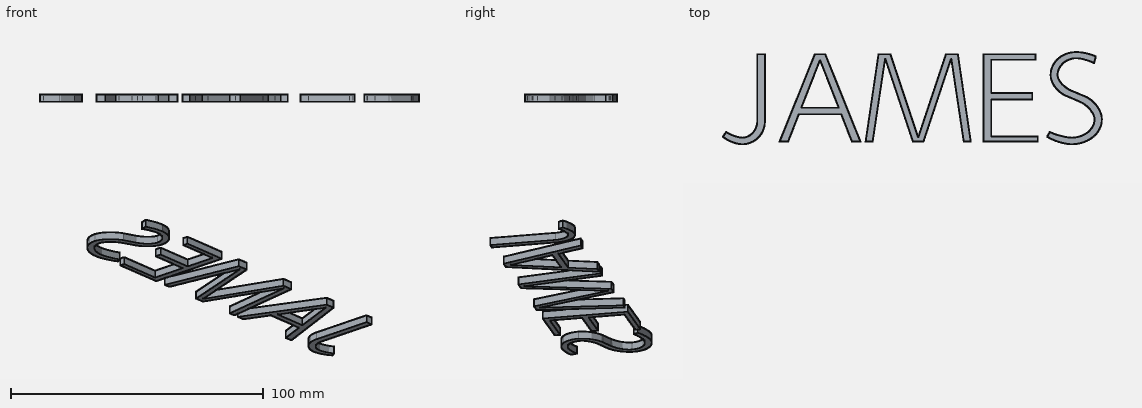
import cadquery as cq

thickness = 3.0
cap_height = 34.6
total_height = 36.6
bottom_y = -1.0
top_y = bottom_y + total_height
stem_width = 3.2
hook_tip_outer_y = 2.0
hook_tip_inner_y = 3.9
hook_inner_y = 1.6
curve_fullness = 0.55


def bend(outline, corner, end):
    """Bend from the last edge to end; both end tangents pass through corner."""
    start = outline.val().endPoint()
    start_handle = (
        start.x + curve_fullness * (corner[0] - start.x),
        start.y + curve_fullness * (corner[1] - start.y),
    )
    end_handle = (
        end[0] + curve_fullness * (corner[0] - end[0]),
        end[1] + curve_fullness * (corner[1] - end[1]),
    )
    return outline.bezier([start_handle, end_handle, end], includeCurrent=True)


def plate(points):
    """Extrude a straight-sided outline to the letter thickness."""
    return cq.Workplane("XY").polyline(points).close().extrude(thickness)


def mirrored(left_points, center_x):
    """Return the mirror image of a left-half outline, in reverse order."""
    return [(2 * center_x - x, y) for x, y in reversed(left_points)]


j_stem_right = 16.6
j_stem_left = j_stem_right - stem_width
j_bend_y = 8.1
j_bottom_x = 7.6
j_tip_outer = (0, hook_tip_outer_y)
j_tip_inner = (1.2, hook_tip_inner_y)
j_outer_tip_corner_x = 3.3
j_inner_tip_corner_x = 4.5


def make_letter_j():
    outline = (
        cq.Workplane("XY")
        .moveTo(j_stem_left, cap_height)
        .lineTo(j_stem_right, cap_height)
        .lineTo(j_stem_right, j_bend_y)
    )
    outline = bend(outline, (j_stem_right, bottom_y), (j_bottom_x, bottom_y))
    outline = bend(outline, (j_outer_tip_corner_x, bottom_y), j_tip_outer)
    outline = outline.lineTo(*j_tip_inner)
    outline = bend(outline, (j_inner_tip_corner_x, hook_inner_y), (j_bottom_x, hook_inner_y))
    outline = bend(outline, (j_stem_left, hook_inner_y), (j_stem_left, j_bend_y))
    return outline.close().extrude(thickness)


a_center_x = 38.4
a_outer_half_width = 16.0
a_inner_half_width = 12.6
a_top_half_width = 2.1
a_apex_y = 32.2
a_bar_bottom = 10.8
a_bar_top = 13.5


def make_letter_a():
    def inner_half_width(y):
        return a_inner_half_width * (1 - y / a_apex_y)

    left_half = [
        (a_center_x - inner_half_width(a_bar_bottom), a_bar_bottom),
        (a_center_x - a_inner_half_width, 0),
        (a_center_x - a_outer_half_width, 0),
        (a_center_x - a_top_half_width, cap_height),
    ]
    body = plate(left_half + mirrored(left_half, a_center_x))
    window_half_width = inner_half_width(a_bar_top)
    window = plate([
        (a_center_x - window_half_width, a_bar_top),
        (a_center_x, a_apex_y),
        (a_center_x + window_half_width, a_bar_top),
    ])
    return body.cut(window)


m_center_x = 77.2
m_foot_outer = 20.8
m_foot_inner = 18.0
m_shoulder_outer = 15.8
m_shoulder_inner = 11.0
m_notch_offset = 13.0
m_notch_y = 32.8
m_vertex_half_width = 2.1
m_valley_y = 1.8


def make_letter_m():
    left_half = [
        (m_center_x - m_vertex_half_width, 0),
        (m_center_x - m_notch_offset, m_notch_y),
        (m_center_x - m_foot_inner, 0),
        (m_center_x - m_foot_outer, 0),
        (m_center_x - m_shoulder_outer, cap_height),
        (m_center_x - m_shoulder_inner, cap_height),
    ]
    valley = (m_center_x, m_valley_y)
    return plate(left_half + [valley] + mirrored(left_half, m_center_x))


e_left = 103.0
e_stem_right = e_left + stem_width
e_top_end = 123.8
e_middle_end = 122.4
e_bottom_end = 124.6
e_top_arm_y = 32.4
e_middle_top = 19.4
e_middle_bottom = 16.6
e_bottom_arm_y = 2.1


def make_letter_e():
    return plate([
        (e_left, 0),
        (e_bottom_end, 0),
        (e_bottom_end, e_bottom_arm_y),
        (e_stem_right, e_bottom_arm_y),
        (e_stem_right, e_middle_bottom),
        (e_middle_end, e_middle_bottom),
        (e_middle_end, e_middle_top),
        (e_stem_right, e_middle_top),
        (e_stem_right, e_top_arm_y),
        (e_top_end, e_top_arm_y),
        (e_top_end, cap_height),
        (e_left, cap_height),
    ])


s_left = 129.6
s_right = 150.0
s_inner_left = 132.5
s_inner_right = 147.0
s_top_x = 139.8
s_bottom_x = 138.0
s_top_inner_y = 33.0
s_upper_y = 26.4
s_lower_y = 8.8

s_top_tip_outer = (147.6, 33.8)
s_top_tip_inner = (146.8, 31.0)
s_bottom_tip_outer = (128.2, hook_tip_outer_y)
s_bottom_tip_inner = (129.3, hook_tip_inner_y)
s_spine_lower_start = (136.0, 18.0)
s_spine_lower_end = (141.0, 15.9)
s_spine_upper_start = (143.2, 18.0)
s_spine_upper_end = (138.2, 20.1)
s_top_outer_corner_x = 144.0
s_top_inner_corner_x = 143.4
s_bottom_outer_corner_x = 132.9
s_bottom_inner_corner_x = 134.0
s_upper_outer_corner_y = 20.5
s_upper_inner_corner_y = 22.4
s_lower_outer_corner_y = 15.2
s_lower_inner_corner_y = 13.4


def make_letter_s():
    outline = cq.Workplane("XY").moveTo(*s_top_tip_inner).lineTo(*s_top_tip_outer)
    outline = bend(outline, (s_top_outer_corner_x, top_y), (s_top_x, top_y))
    outline = bend(outline, (s_left, top_y), (s_left, s_upper_y))
    outline = bend(outline, (s_left, s_upper_outer_corner_y), s_spine_lower_start)
    outline = outline.lineTo(*s_spine_lower_end)
    outline = bend(outline, (s_inner_right, s_lower_inner_corner_y), (s_inner_right, s_lower_y))
    outline = bend(outline, (s_inner_right, hook_inner_y), (s_bottom_x, hook_inner_y))
    outline = bend(outline, (s_bottom_inner_corner_x, hook_inner_y), s_bottom_tip_inner)
    outline = outline.lineTo(*s_bottom_tip_outer)
    outline = bend(outline, (s_bottom_outer_corner_x, bottom_y), (s_bottom_x, bottom_y))
    outline = bend(outline, (s_right, bottom_y), (s_right, s_lower_y))
    outline = bend(outline, (s_right, s_lower_outer_corner_y), s_spine_upper_start)
    outline = outline.lineTo(*s_spine_upper_end)
    outline = bend(outline, (s_inner_left, s_upper_inner_corner_y), (s_inner_left, s_upper_y))
    outline = bend(outline, (s_inner_left, s_top_inner_y), (s_top_x, s_top_inner_y))
    outline = bend(outline, (s_top_inner_corner_x, s_top_inner_y), s_top_tip_inner)
    return outline.close().extrude(thickness)


letter_j = make_letter_j()
letter_a = make_letter_a()
letter_m = make_letter_m()
letter_e = make_letter_e()
letter_s = make_letter_s()

result = cq.Compound.makeCompound([
    letter_j.val(),
    letter_a.val(),
    letter_m.val(),
    letter_e.val(),
    letter_s.val(),
])